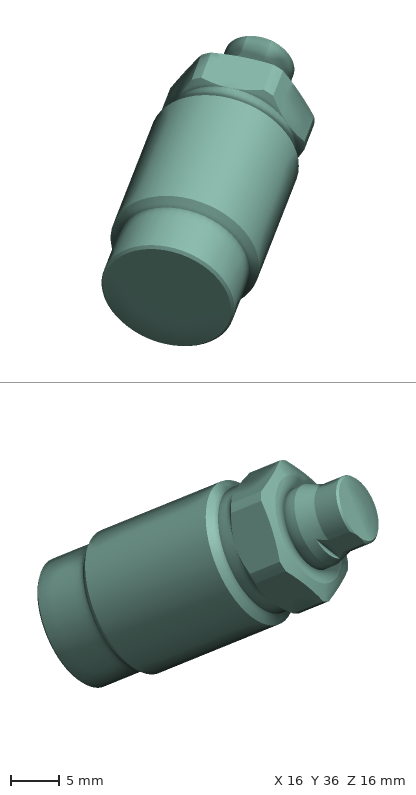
import cadquery as cq
import math

TOTAL_LENGTH = 36.0

HOUSING_DIAMETER = 16.0
NOSE_DIAMETER = 14.3
NOSE_LENGTH = 6.0
NOSE_CHAMFER = 0.3
HOUSING_CHAMFER = 0.85
HOUSING_LENGTH = 23.08

NECK_LENGTH = 1.5
HEX_LENGTH = 5.05
HEX_ACROSS_FLATS = 14.0
NECK_DIAMETER = HEX_ACROSS_FLATS
HEX_CORNER_DIAMETER = 15.5
HEX_FRONT_CHAMFER = 0.7
HEX_REAR_CHAMFER = 0.55
HEX_REAR_FACE_DIAMETER = 11.95

COLLAR_DIAMETER = 9.0
CONE_LENGTH = 2.05
STUB_DIAMETER = 7.52
STUB_LENGTH = 2.95
STUB_CHAMFER = 0.2
STUB_ACROSS_FLATS = 7.05
FLAT_LENGTH = 3.92

HEX_START = HOUSING_LENGTH + NECK_LENGTH
HEX_END = HEX_START + HEX_LENGTH
STUB_START = TOTAL_LENGTH - STUB_LENGTH
COLLAR_END = STUB_START - CONE_LENGTH


def revolve_profile(points):
    """Turn an outline of (radius, station) points about the Y axis."""
    return cq.Workplane("XY").polyline(points).close().revolve(360, (0, 0, 0), (0, 1, 0))


def make_housing():
    """Stepped nose and body, tapering at the rear to meet the neck of the fitting."""
    nose_radius = NOSE_DIAMETER / 2
    radius = HOUSING_DIAMETER / 2
    return revolve_profile([
        (0, 0),
        (nose_radius - NOSE_CHAMFER, 0),
        (nose_radius, NOSE_CHAMFER),
        (nose_radius, NOSE_LENGTH),
        (radius, NOSE_LENGTH + HOUSING_CHAMFER),
        (radius, HOUSING_LENGTH - HOUSING_CHAMFER),
        (NECK_DIAMETER / 2, HOUSING_LENGTH),
        (0, HOUSING_LENGTH),
    ])


def make_hexagon():
    """Hexagon with flats facing +Z and -Z, its corners trimmed by a chamfered turned blank."""
    prism = (
        cq.Workplane("XZ", origin=(0, HEX_START, 0))
        .polygon(6, HEX_ACROSS_FLATS / math.cos(math.pi / 6))
        .extrude(-HEX_LENGTH)
    )
    corner_radius = HEX_CORNER_DIAMETER / 2
    blank = revolve_profile([
        (0, HEX_START),
        (HEX_ACROSS_FLATS / 2, HEX_START),
        (corner_radius, HEX_START + HEX_FRONT_CHAMFER),
        (corner_radius, HEX_END - HEX_REAR_CHAMFER),
        (HEX_REAR_FACE_DIAMETER / 2, HEX_END),
        (0, HEX_END),
    ])
    return prism.intersect(blank)


def make_stub():
    """Collar, cone and stub behind the hexagon, with two flats across the stub."""
    stub_radius = STUB_DIAMETER / 2
    collar_radius = COLLAR_DIAMETER / 2
    stub = revolve_profile([
        (0, HEX_END),
        (collar_radius, HEX_END),
        (collar_radius, COLLAR_END),
        (stub_radius, STUB_START),
        (stub_radius, TOTAL_LENGTH - STUB_CHAMFER),
        (stub_radius - STUB_CHAMFER, TOTAL_LENGTH),
        (0, TOTAL_LENGTH),
    ])
    flat_middle = TOTAL_LENGTH - FLAT_LENGTH / 2
    for side in (1, -1):
        cutter_middle = side * (STUB_ACROSS_FLATS + COLLAR_DIAMETER) / 2
        cutter = (
            cq.Workplane("XY")
            .box(COLLAR_DIAMETER, FLAT_LENGTH, COLLAR_DIAMETER)
            .translate((0, flat_middle, cutter_middle))
        )
        stub = stub.cut(cutter)
    return stub


def make_fitting():
    neck = (
        cq.Workplane("XZ", origin=(0, HOUSING_LENGTH, 0))
        .circle(NECK_DIAMETER / 2)
        .extrude(-NECK_LENGTH)
    )
    return neck.union(make_hexagon()).union(make_stub())


housing = make_housing()
fitting = make_fitting()

result = cq.Compound.makeCompound([housing.val(), *fitting.solids().vals()])